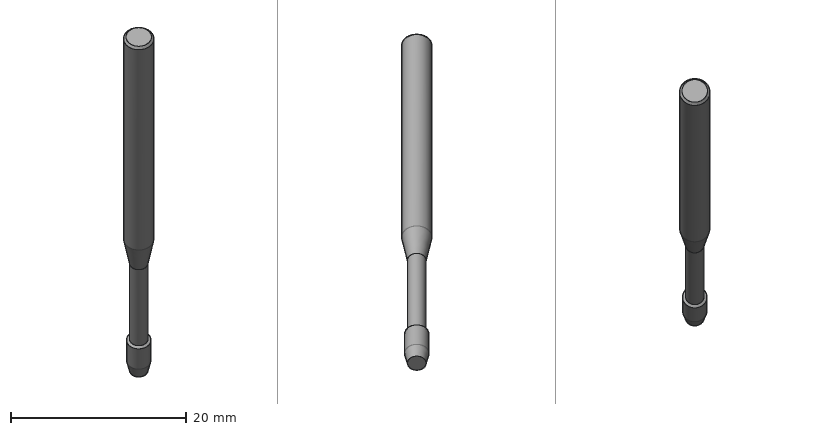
import cadquery as cq

total_length = 56.0
tip_cone_height = 1.7
collar_top = 5.25
handle_bottom = 18.05
handle_taper_top = 22.05

handle_diameter = 3.5
neck_diameter = 2.1
collar_diameter = 2.8
tip_end_diameter = neck_diameter

handle_bevel = 0.3
collar_shoulder_height = 0.15


def make_handle():
    """Round grip with a bevelled top and a taper down to the neck diameter."""
    taper = (
        cq.Workplane("XY", origin=(0, 0, handle_bottom))
        .circle(neck_diameter / 2)
        .workplane(offset=handle_taper_top - handle_bottom)
        .circle(handle_diameter / 2)
        .loft(ruled=True)
    )
    grip = (
        cq.Workplane("XY", origin=(0, 0, handle_taper_top))
        .circle(handle_diameter / 2)
        .extrude(total_length - handle_taper_top)
        .faces(">Z")
        .chamfer(handle_bevel)
    )
    return grip.union(taper)


def make_tip():
    """Thin neck with a sloped-shoulder collar and a tapered lower end, turned about Z."""
    neck_radius = neck_diameter / 2
    collar_radius = collar_diameter / 2
    return (
        cq.Workplane("XZ")
        .lineTo(tip_end_diameter / 2, 0)
        .lineTo(collar_radius, tip_cone_height)
        .lineTo(collar_radius, collar_top - collar_shoulder_height)
        .lineTo(neck_radius, collar_top)
        .lineTo(neck_radius, handle_bottom)
        .lineTo(0, handle_bottom)
        .close()
        .revolve(360, (0, 0, 0), (0, 1, 0))
    )


handle = make_handle()
tip = make_tip()
result = cq.Compound.makeCompound([handle.val(), tip.val()])